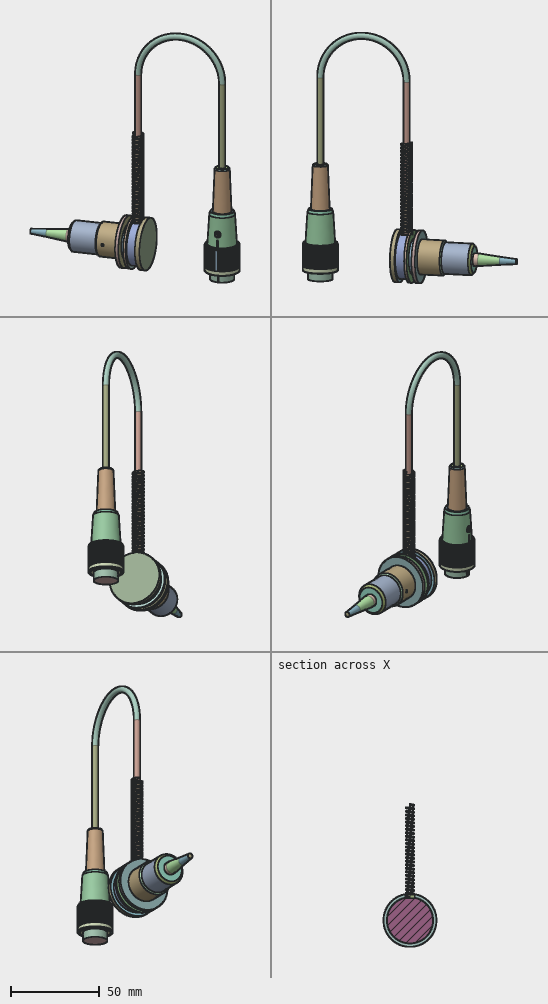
import cadquery as cq
import math


tip_dome_height = 0.4
cone_break_x = 10.0
collar_start_x = 22.3
barrel_start_x = 25.0
sleeve_start_x = 41.8
disc_start_x = 55.6
disc_end_x = 57.6
spool_start_x = 60.5
groove_start_x = 61.9
groove_end_x = 67.5
spool_end_x = 70.2

tip_diameter = 3.0
cone_break_diameter = 4.7
collar_diameter = 7.3
barrel_diameter = 18.0
barrel_chamfer = 1.4
sleeve_diameter = 20.0
sleeve_chamfer = 0.9
flange_diameter = 30.0
groove_diameter = 26.1

pinhole_diameter = 1.4
pinhole_depth = 1.4
pinhole_x = 46.5

cable_diameter = 3.7
cable_entry_x = 64.2
cable_top_z = 127.0
spring_outer_diameter = 6.5
wire_diameter = 1.0
spring_pitch = 2.0
spring_turns = 26
spring_seat_z = 12.5
spring_seat_diameter = 7.0

plug_x = 114.3
shell_bottom_z = -15.7
ring_bottom_z = -10.8
knurl_bottom_z = -8.0
ring_top_z = 5.3
boot_top_z = 24.5
boot_chamfer_height = 1.7
relief_top_z = 50.4
relief_chamfer_height = 0.9

shell_diameter = 13.8
ring_bore_diameter = 17.1
ring_diameter = 20.0
boot_base_diameter = 16.8
boot_shoulder_diameter = 14.7
boot_top_diameter = 13.3
relief_base_diameter = 10.7
relief_shoulder_diameter = 8.7
relief_top_diameter = 7.3

ring_edge_chamfer = 0.4
ring_top_chamfer_height = 1.0
knurl_count = 100
knurl_depth = 0.3
index_strip_width = 1.7

keyway_width = 0.7
boot_keyway_depth = 0.3
shell_keyway_depth = 0.7
boot_keyway_top_z = 9.7
shell_keyway_bottom_z = -15.0

screw_z = 13.1
screw_diameter = 3.7
screw_length = 2.9
screw_face_radius = 7.7
cross_length = 2.4
cross_width = 0.5
cross_depth = 0.5


def dome_radius():
    """Sphere radius of the shallow dome that closes the nozzle tip."""
    return ((tip_diameter / 2) ** 2 + tip_dome_height**2) / (2 * tip_dome_height)


def make_handpiece():
    """Turned nozzle, barrel, sleeve and flanged spool, with the spring seat and a small side hole."""
    profile = (
        cq.Workplane("XY")
        .moveTo(0, 0)
        .radiusArc((tip_dome_height, tip_diameter / 2), dome_radius())
        .lineTo(cone_break_x, cone_break_diameter / 2)
        .lineTo(collar_start_x, collar_diameter / 2)
        .lineTo(barrel_start_x, collar_diameter / 2)
        .lineTo(barrel_start_x, barrel_diameter / 2 - barrel_chamfer)
        .lineTo(barrel_start_x + barrel_chamfer, barrel_diameter / 2)
        .lineTo(sleeve_start_x, barrel_diameter / 2)
        .lineTo(sleeve_start_x + sleeve_chamfer, sleeve_diameter / 2)
        .lineTo(disc_start_x, sleeve_diameter / 2)
        .lineTo(disc_start_x, flange_diameter / 2)
        .lineTo(disc_end_x, flange_diameter / 2)
        .lineTo(disc_end_x, sleeve_diameter / 2)
        .lineTo(spool_start_x, sleeve_diameter / 2)
        .lineTo(spool_start_x, flange_diameter / 2)
        .lineTo(groove_start_x, flange_diameter / 2)
        .lineTo(groove_start_x, groove_diameter / 2)
        .lineTo(groove_end_x, groove_diameter / 2)
        .lineTo(groove_end_x, flange_diameter / 2)
        .lineTo(spool_end_x, flange_diameter / 2)
        .lineTo(spool_end_x, 0)
        .close()
    )
    body = profile.revolve(360, (0, 0, 0), (1, 0, 0))

    spring_seat = (
        cq.Workplane("XY", origin=(cable_entry_x, 0, spring_seat_z))
        .circle(spring_seat_diameter / 2)
        .extrude(flange_diameter / 2 - spring_seat_z)
    )
    pinhole = (
        cq.Workplane("XZ", origin=(pinhole_x, -(sleeve_diameter / 2 - pinhole_depth), 0))
        .circle(pinhole_diameter / 2)
        .extrude(2 * pinhole_depth)
    )
    return body.cut(spring_seat).cut(pinhole)


def make_cable():
    """Round cable from the spring seat, over a half-circle bend and down to the plug."""
    bend_radius = (plug_x - cable_entry_x) / 2
    bend_top_z = cable_top_z - cable_diameter / 2
    bend_center_z = bend_top_z - bend_radius
    bend_center_x = cable_entry_x + bend_radius
    path = (
        cq.Workplane("XZ")
        .moveTo(cable_entry_x, spring_seat_z)
        .lineTo(cable_entry_x, bend_center_z)
        .threePointArc((bend_center_x, bend_top_z), (plug_x, bend_center_z))
        .lineTo(plug_x, relief_top_z)
    )
    section = cq.Workplane("XY", origin=(cable_entry_x, 0, spring_seat_z)).circle(cable_diameter / 2)
    return section.sweep(path)


def make_spring():
    """Right-handed coil spring around the cable; both wire ends lie on the -X side."""
    coil_radius = (spring_outer_diameter - wire_diameter) / 2
    first_coil_z = spring_seat_z + wire_diameter / 2
    helix = cq.Wire.makeHelix(spring_pitch, spring_pitch * spring_turns, coil_radius)
    wire_section = cq.Workplane("XZ").center(coil_radius, 0).circle(wire_diameter / 2)
    coil = wire_section.sweep(cq.Workplane(helix), isFrenet=True)
    return coil.rotate((0, 0, 0), (0, 0, 1), 180).translate((cable_entry_x, 0, first_coil_z))


def keyway_cutter(outer_radius, depth, round_end_z, open_end_z):
    """Slot cutter on the -Y side of the plug, with one rounded end, sunk depth into outer_radius."""
    toward_open_end = math.copysign(1, open_end_z - round_end_z)
    arc_center_z = round_end_z + toward_open_end * keyway_width / 2
    return (
        cq.Workplane("XZ", origin=(plug_x, -(outer_radius - depth), 0))
        .moveTo(-keyway_width / 2, open_end_z)
        .lineTo(-keyway_width / 2, arc_center_z)
        .threePointArc((0, round_end_z), (keyway_width / 2, arc_center_z))
        .lineTo(keyway_width / 2, open_end_z)
        .close()
        .extrude(2 * depth)
    )


def make_plug_body():
    """Turned plug: contact shell, hub inside the coupling ring, tapered boot and cable relief."""
    stations = [
        (0, shell_bottom_z),
        (shell_diameter / 2, shell_bottom_z),
        (shell_diameter / 2, ring_bottom_z),
        (ring_bore_diameter / 2, ring_bottom_z),
        (ring_bore_diameter / 2, ring_top_z),
        (boot_base_diameter / 2, ring_top_z),
        (boot_shoulder_diameter / 2, boot_top_z - boot_chamfer_height),
        (boot_top_diameter / 2, boot_top_z),
        (relief_base_diameter / 2, boot_top_z),
        (relief_shoulder_diameter / 2, relief_top_z - relief_chamfer_height),
        (relief_top_diameter / 2, relief_top_z),
        (0, relief_top_z),
    ]
    profile = cq.Workplane("XZ", origin=(plug_x, 0, 0)).polyline(stations).close()
    body = profile.revolve(360, (0, 0, 0), (0, 1, 0))
    boot_keyway = keyway_cutter(boot_base_diameter / 2, boot_keyway_depth, boot_keyway_top_z, ring_top_z)
    shell_keyway = keyway_cutter(shell_diameter / 2, shell_keyway_depth, shell_keyway_bottom_z, ring_bottom_z)
    screw_hole = screw_cylinder(2 * screw_length)
    return body.cut(boot_keyway).cut(shell_keyway).cut(screw_hole)


def screw_cylinder(length):
    """Cylinder on the screw axis, from the screw's inner end out toward -Y."""
    inner_end_y = -(screw_face_radius - screw_length)
    return (
        cq.Workplane("XZ", origin=(plug_x, inner_end_y, screw_z))
        .circle(screw_diameter / 2)
        .extrude(length)
    )


def make_screw():
    """Cable-clamp screw with a cross recess in its outer face."""
    cross_floor_y = -(screw_face_radius - cross_depth)
    cross_plane = cq.Workplane("XZ", origin=(plug_x, cross_floor_y, screw_z))
    level_slot = cross_plane.rect(cross_length, cross_width).extrude(cross_depth)
    upright_slot = cross_plane.rect(cross_width, cross_length).extrude(cross_depth)
    return screw_cylinder(screw_length).cut(level_slot).cut(upright_slot)


def make_coupling_ring():
    """Coupling ring with straight knurling above a plain band, and a plain index strip at -Y."""
    radius = ring_diameter / 2
    strip_half_angle = index_strip_width / 2 / radius
    groove_angle = (2 * math.pi - 2 * strip_half_angle) / knurl_count
    first_angle = -math.pi / 2 + strip_half_angle

    def at(distance, angle):
        return (distance * math.cos(angle), distance * math.sin(angle))

    knurl_points = [at(radius, first_angle)]
    for i in range(knurl_count):
        start = first_angle + i * groove_angle
        knurl_points.append(at(radius - knurl_depth, start + groove_angle / 2))
        knurl_points.append(at(radius, start + groove_angle))

    knurled = (
        cq.Workplane("XY", origin=(plug_x, 0, knurl_bottom_z))
        .polyline(knurl_points)
        .close()
        .extrude(ring_top_z - knurl_bottom_z)
    )
    blank_section = [
        (ring_bore_diameter / 2, ring_bottom_z),
        (radius - ring_edge_chamfer, ring_bottom_z),
        (radius, ring_bottom_z + ring_edge_chamfer),
        (radius, ring_top_z - ring_top_chamfer_height),
        (radius - ring_edge_chamfer, ring_top_z),
        (ring_bore_diameter / 2, ring_top_z),
    ]
    blank = (
        cq.Workplane("XZ", origin=(plug_x, 0, 0))
        .polyline(blank_section)
        .close()
        .revolve(360, (0, 0, 0), (0, 1, 0))
    )
    band = (
        cq.Workplane("XY", origin=(plug_x, 0, ring_bottom_z))
        .circle(radius)
        .extrude(knurl_bottom_z - ring_bottom_z)
    )
    return blank.intersect(band.union(knurled))


handpiece = make_handpiece()
cable = make_cable()
spring = make_spring()
plug_body = make_plug_body()
screw = make_screw()
coupling_ring = make_coupling_ring()

result = cq.Compound.makeCompound(
    [
        handpiece.val(),
        cable.val(),
        spring.val(),
        plug_body.val(),
        screw.val(),
        coupling_ring.val(),
    ]
)